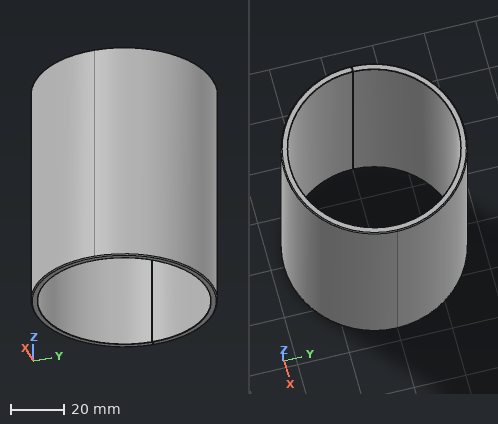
import cadquery as cq

length = 90.0
outer_diameter = 70.0
wall = 2.5
outer_chamfer = 0.45
inner_chamfer = 0.2
slit_width = 0.4

outer_radius = outer_diameter / 2
inner_radius = outer_radius - wall


def chamfered_sleeve():
    """Tube on the Z axis with its inner and outer end edges chamfered."""
    wall_profile = [
        (inner_radius, inner_chamfer),
        (inner_radius + inner_chamfer, 0),
        (outer_radius - outer_chamfer, 0),
        (outer_radius, outer_chamfer),
        (outer_radius, length - outer_chamfer),
        (outer_radius - outer_chamfer, length),
        (inner_radius + inner_chamfer, length),
        (inner_radius, length - inner_chamfer),
    ]
    return cq.Workplane("XZ").polyline(wall_profile).close().revolve(360, (0, 0), (0, 1))


def slit_cutter():
    """Thin block that splits the -X wall along its whole length, on the +Y side of the XZ plane."""
    cutter = cq.Workplane("XY").box(outer_radius, slit_width, length, centered=False)
    return cutter.translate((-outer_radius, 0, 0))


result = chamfered_sleeve().cut(slit_cutter())